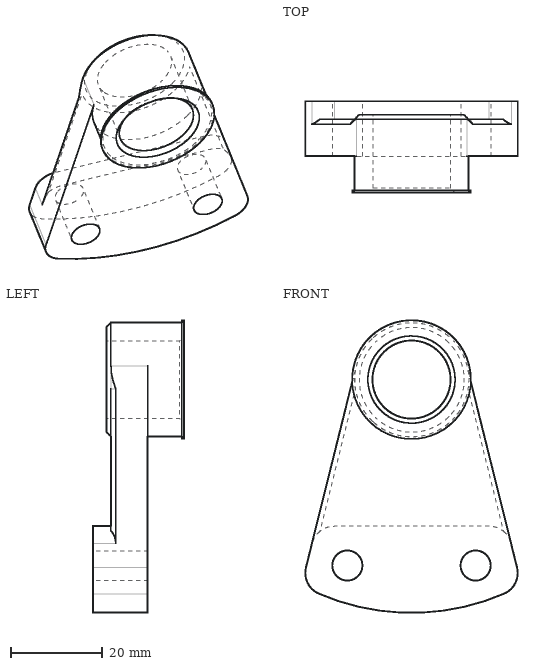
import cadquery as cq
import math


boss_radius = 12.5
flange_radius = 13.0
flange_thickness = 0.5
boss_back = 17.0
bore_radius = 8.5
chamfer_size = 1.0

plate_front = 8.0
plate_back = boss_back - chamfer_size
foot_back = 20.0
foot_top = -32.0
half_width = 23.2
overall_height = 64
bottom_radius = overall_height - flange_radius
corner_radius = 5.0

hole_radius = 3.25
hole_offset = 14.0
hole_height = -40.65

corner_x = half_width - corner_radius
corner_distance = bottom_radius - corner_radius
corner_z = -math.sqrt(corner_distance**2 - corner_x**2)

side_angle = math.atan2(corner_z, corner_x) + math.acos((boss_radius - corner_radius) / corner_distance)
normal_x = math.cos(side_angle)
normal_z = math.sin(side_angle)
side_top = (boss_radius * normal_x, boss_radius * normal_z)
side_bottom = (corner_x + corner_radius * normal_x, corner_z + corner_radius * normal_z)
arc_end = (
    corner_x * bottom_radius / corner_distance,
    corner_z * bottom_radius / corner_distance,
)


def mirrored(point):
    return (-point[0], point[1])


def side_x(z):
    """X of the right-hand straight side at height z."""
    return (boss_radius - z * normal_z) / normal_x


def plane_at(y):
    """XZ sketch plane at the given Y; extrusion runs towards -Y."""
    return cq.Workplane("XZ", origin=(0, y, 0))


def cylinder(radius, front, back):
    return plane_at(back).circle(radius).extrude(back - front)


def make_plate():
    """Tapered plate with straight sides, before its rear edges are beveled."""
    corners = [side_top, side_bottom, mirrored(side_bottom), mirrored(side_top)]
    return plane_at(plate_back).polyline(corners).close().extrude(plate_back - plate_front)


def make_bevel_cutter():
    """Wedge along the right side's rear edge, running out against the boss chamfer cone."""
    side_length = math.dist(side_top, side_bottom)
    side_plane = cq.Plane(
        origin=(side_bottom[0], plate_back, side_bottom[1]),
        xDir=(normal_x, 0, normal_z),
        normal=(-normal_z, 0, normal_x),
    )
    reach = 2 * chamfer_size
    corners = [(-reach, chamfer_size), (chamfer_size, -reach), (chamfer_size, chamfer_size)]
    wedge = cq.Workplane(side_plane).polyline(corners).close().extrude(side_length)
    cone_length = boss_back - plate_front
    cone_tip_radius = boss_radius - chamfer_size
    cone = cq.Solid.makeCone(
        cone_tip_radius + cone_length,
        cone_tip_radius,
        cone_length,
        pnt=cq.Vector(0, plate_front, 0),
        dir=cq.Vector(0, 1, 0),
    )
    return wedge.cut(cq.Workplane(cone))


def make_foot():
    """Rounded lower end: full depth below foot_top, flush with the plate's sides."""
    bottom_angle = math.atan2(corner_z, corner_x)
    middle_angle = (side_angle + bottom_angle) / 2
    corner_middle = (
        corner_x + corner_radius * math.cos(middle_angle),
        corner_z + corner_radius * math.sin(middle_angle),
    )
    top_corner = (side_x(foot_top), foot_top)
    outline = (
        plane_at(foot_back)
        .moveTo(*top_corner)
        .lineTo(*side_bottom)
        .threePointArc(corner_middle, arc_end)
        .threePointArc((0, -bottom_radius), mirrored(arc_end))
        .threePointArc(mirrored(corner_middle), mirrored(side_bottom))
        .lineTo(*mirrored(top_corner))
        .close()
    )
    foot = outline.extrude(foot_back - plate_front)
    return foot.edges("|Y").edges(">Z").fillet(corner_radius)


def make_boss():
    boss = cylinder(boss_radius, 0, boss_back).faces(">Y").edges().chamfer(chamfer_size)
    return boss.union(cylinder(flange_radius, 0, flange_thickness))


def make_bore():
    """Bore with a conical lead-in at the front, as a revolved profile."""
    mouth_radius = bore_radius + chamfer_size
    profile = [
        (0, 0),
        (mouth_radius, 0),
        (bore_radius, chamfer_size),
        (bore_radius, boss_back),
        (0, boss_back),
    ]
    return cq.Workplane("XY").polyline(profile).close().revolve(360, (0, 0), (0, 1))


def make_mounting_holes():
    centers = [(-hole_offset, hole_height), (hole_offset, hole_height)]
    return plane_at(foot_back).pushPoints(centers).circle(hole_radius).extrude(foot_back - plate_front)


bevel_cutter = make_bevel_cutter()
plate = make_plate().cut(bevel_cutter).cut(bevel_cutter.mirror("YZ"))
result = plate.union(make_foot()).union(make_boss(), clean=False)
result = result.cut(make_bore(), clean=False).cut(make_mounting_holes(), clean=False)